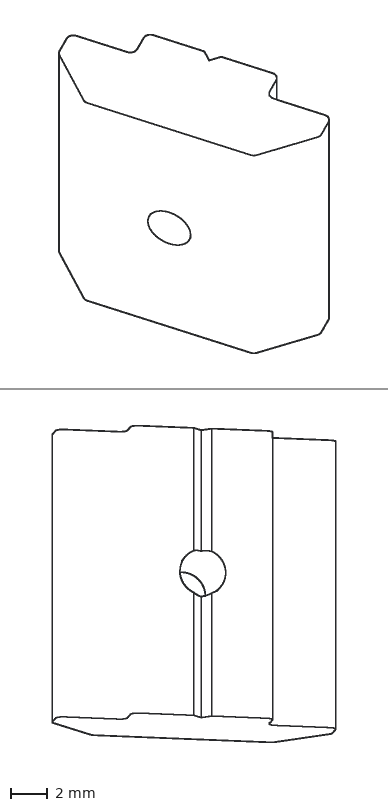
import cadquery as cq

width = 15.5
thickness = 6.0
length = 16.0

tongue_width = 7.85
tongue_height = 1.7
bevel = 2.75
edge_radius = 0.4
groove_width = 1.0
groove_depth = 0.5
hole_diameter = 2.53

half_width = width / 2
half_tongue = tongue_width / 2
back_y = -thickness / 2
front_y = thickness / 2
shoulder_y = front_y - tongue_height


def make_body():
    """Slot-nut bar: bevelled base with a raised tongue, rounded lengthwise."""
    right_side = [
        (half_width - bevel, back_y),
        (half_width, back_y + bevel),
        (half_width, shoulder_y),
        (half_tongue, shoulder_y),
        (half_tongue, front_y),
    ]
    left_side = [(-x, y) for x, y in reversed(right_side)]
    bar = (
        cq.Workplane("XY")
        .workplane(offset=-length / 2)
        .polyline(right_side + left_side)
        .close()
        .extrude(length)
    )
    return bar.edges("|Z").fillet(edge_radius)


def make_groove():
    """V-shaped cutter running the full length of the tongue face."""
    return (
        cq.Workplane("XY")
        .workplane(offset=-length / 2)
        .moveTo(-groove_width / 2, front_y)
        .lineTo(groove_width / 2, front_y)
        .lineTo(0, front_y - groove_depth)
        .close()
        .extrude(length)
    )


def make_hole():
    """Cutter for the central hole through the full thickness along Y."""
    return (
        cq.Workplane("XZ")
        .circle(hole_diameter / 2)
        .extrude(thickness / 2, both=True)
    )


result = make_body().cut(make_groove()).cut(make_hole())